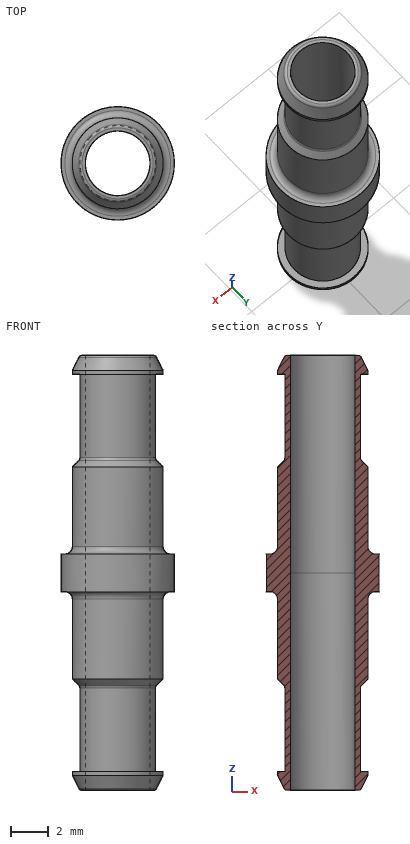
import cadquery as cq

collar_diameter = 6.0
body_diameter = 4.8
neck_diameter = 4.0
bore_diameter = 3.4

length = 23.0
collar_height = 2.0
shoulder_height = 6.0
barb_length = 1.01
barb_land = 0.2

collar_fillet = 0.4
small_fillet = 0.2

collar_radius = collar_diameter / 2
body_radius = body_diameter / 2
neck_radius = neck_diameter / 2
half_length = length / 2
collar_top = collar_height / 2
barb_bottom = half_length - barb_length
barb_land_top = barb_bottom + barb_land
shoulder_bottom = shoulder_height - (body_radius - neck_radius)


def round_corners(solid, radius, height, fillet):
    """Round the circular edges with the given radius, at this height above and below the mid-plane."""
    tolerance = 0.002
    matching_edges = [
        edge
        for edge in solid.edges("%CIRCLE").vals()
        if abs(edge.radius() - radius) < tolerance
        and abs(abs(edge.Center().z) - height) < tolerance
    ]
    return solid.newObject(matching_edges).fillet(fillet)


def make_turned_bar():
    """Revolve the symmetric outline into a solid bar with sharp corners."""
    upper_outline = [
        (collar_radius, collar_top),
        (body_radius, collar_top),
        (body_radius, shoulder_bottom),
        (neck_radius, shoulder_height),
        (neck_radius, barb_bottom),
        (body_radius, barb_bottom),
        (body_radius, barb_land_top),
        (neck_radius, half_length),
        (0, half_length),
    ]
    lower_outline = [(radius, -height) for radius, height in reversed(upper_outline)]
    outline = cq.Workplane("XZ").polyline(lower_outline + upper_outline).close()
    return outline.revolve(360, (0, 0, 0), (0, 1, 0))


body = make_turned_bar()
body = round_corners(body, body_radius, collar_top, collar_fillet)
body = round_corners(body, neck_radius, shoulder_height, small_fillet)
body = round_corners(body, neck_radius, half_length, small_fillet)

bore = cq.Workplane("XY").circle(bore_diameter / 2).extrude(half_length, both=True)
result = body.cut(bore)